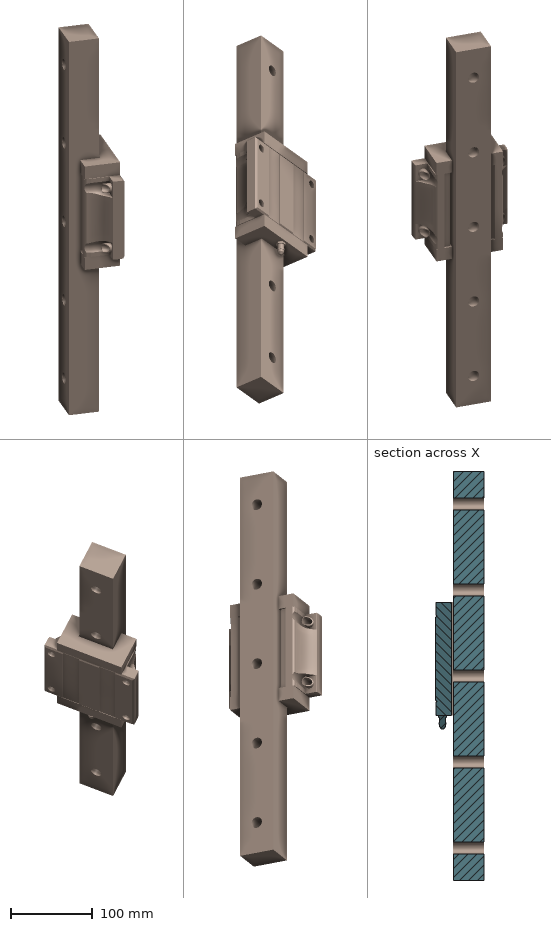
import cadquery as cq
import math

RAIL_LENGTH = 500.0
RAIL_WIDTH = 45.0
RAIL_HEIGHT = 38.0
RAIL_HOLE_PITCH = 105.0
RAIL_HOLE_COUNT = 5
RAIL_HOLE_RADIUS = 7.0

CARRIAGE_Z = 21.0
BLOCK_LENGTH = 104.5
CAP_THICKNESS = 17.0
CAP_HALF_WIDTH = 43.0
CARRIAGE_BOTTOM = 14.0
CAP_TOP = 59.0
SLOT_GAP = 0.5
SLOT_TOP = 39.5
BLOCK_TOP = 60.0
BLOCK_HALF_WIDTH = 43.5
BLOCK_SLOT_HALF_WIDTH = 25.0
EDGE_CHAMFER = 2.0
SLOT_STEP_HALF_WIDTH = 32.5
SLOT_STEP_DEPTH = 2.5

RELIEF_INNER = 13.5
RELIEF_OUTER = 35.0
RELIEF_DEPTH = 1.0

FLANGE_HALF_WIDTH = 60.0
FLANK_RADIUS = 34.5
SIDE_STEP_DEPTH = 0.5
SIDE_STEP_Y = 47.5

HOLE_HALF_SPACING_X = 50.0
HOLE_HALF_SPACING_Z = 40.0
THREAD_RADIUS = 5.0
SLEEVE_RADIUS = 6.0
SLEEVE_BOTTOM = 35.0
POCKET_X = 51.5
POCKET_RADIUS = 10.0
POCKET_FLOOR = 45.0
NOTCH_WALL = 44.0

NIPPLE_Y = 51.0
NUT_ACROSS_FLATS = 10.5
NUT_HEIGHT = 2.5
NECK_RADIUS = 4.0
RIB_RADIUS = 4.5
RIB_START = 8.5
RIB_END = 10.5
TAPER_START = 13.5
TIP_RADIUS = 1.5
NIPPLE_LENGTH = 16.5


def box(x_min, x_max, y_min, y_max, z_min, z_max):
    """Axis-aligned box given by its limits."""
    size = (x_max - x_min, y_max - y_min, z_max - z_min)
    return cq.Workplane("XY").box(*size, centered=False).translate((x_min, y_min, z_min))


def cylinder_along_y(x, z, radius, y_min, y_max):
    """Cylinder with its axis parallel to Y."""
    height = y_max - y_min
    solid = cq.Solid.makeCylinder(radius, height, cq.Vector(x, y_min, z), cq.Vector(0, 1, 0))
    return cq.Workplane(obj=solid)


def make_rail():
    rail = box(-RAIL_WIDTH / 2, RAIL_WIDTH / 2, 0, RAIL_HEIGHT, -RAIL_LENGTH / 2, RAIL_LENGTH / 2)
    for index in range(RAIL_HOLE_COUNT):
        z = (index - (RAIL_HOLE_COUNT - 1) / 2) * RAIL_HOLE_PITCH
        rail = rail.cut(cylinder_along_y(0, z, RAIL_HOLE_RADIUS, 0, RAIL_HEIGHT))
    return rail


def half_block():
    """The +X half of the block, centred on Z = 0, with its concave flank."""
    flank_start = CARRIAGE_BOTTOM + EDGE_CHAMFER
    arc_x = BLOCK_HALF_WIDTH + FLANK_RADIUS
    flank_outer = FLANGE_HALF_WIDTH - SIDE_STEP_DEPTH
    rise = math.acos((arc_x - flank_outer) / FLANK_RADIUS)
    flank_end = (flank_outer, flank_start + FLANK_RADIUS * math.sin(rise))
    flank_mid = (
        arc_x - FLANK_RADIUS * math.cos(rise / 2),
        flank_start + FLANK_RADIUS * math.sin(rise / 2),
    )
    step_top = CARRIAGE_BOTTOM + SLOT_STEP_DEPTH
    return (
        cq.Workplane("XY")
        .workplane(offset=-BLOCK_LENGTH / 2)
        .moveTo(0, BLOCK_TOP)
        .lineTo(0, SLOT_TOP)
        .lineTo(BLOCK_SLOT_HALF_WIDTH, SLOT_TOP)
        .lineTo(BLOCK_SLOT_HALF_WIDTH, step_top)
        .lineTo(SLOT_STEP_HALF_WIDTH, step_top)
        .lineTo(SLOT_STEP_HALF_WIDTH, CARRIAGE_BOTTOM)
        .lineTo(BLOCK_HALF_WIDTH - EDGE_CHAMFER, CARRIAGE_BOTTOM)
        .lineTo(BLOCK_HALF_WIDTH, flank_start)
        .threePointArc(flank_mid, flank_end)
        .lineTo(flank_outer, SIDE_STEP_Y)
        .lineTo(FLANGE_HALF_WIDTH, SIDE_STEP_Y)
        .lineTo(FLANGE_HALF_WIDTH, BLOCK_TOP - EDGE_CHAMFER)
        .lineTo(FLANGE_HALF_WIDTH - EDGE_CHAMFER, BLOCK_TOP)
        .lineTo(RELIEF_OUTER, BLOCK_TOP)
        .lineTo(RELIEF_OUTER, BLOCK_TOP - RELIEF_DEPTH)
        .lineTo(RELIEF_INNER, BLOCK_TOP - RELIEF_DEPTH)
        .lineTo(RELIEF_INNER, BLOCK_TOP)
        .close()
        .extrude(BLOCK_LENGTH)
    )


def mounting_pocket():
    """Cut under the flange around the hole near the +Z end: a U-shaped pocket open to the
    flange side and a notch open to the block end, leaving a sleeve around the thread."""
    x = HOLE_HALF_SPACING_X
    z = HOLE_HALF_SPACING_Z
    outer = FLANGE_HALF_WIDTH
    pocket = cylinder_along_y(POCKET_X, z, POCKET_RADIUS, CARRIAGE_BOTTOM, POCKET_FLOOR)
    pocket = pocket.union(
        box(POCKET_X, outer, CARRIAGE_BOTTOM, POCKET_FLOOR, z - POCKET_RADIUS, z + POCKET_RADIUS)
    )
    pocket = pocket.union(box(NOTCH_WALL, outer, CARRIAGE_BOTTOM, POCKET_FLOOR, z, BLOCK_LENGTH / 2))
    pocket = pocket.cut(cylinder_along_y(x, z, SLEEVE_RADIUS, SLEEVE_BOTTOM, POCKET_FLOOR))
    return pocket.union(cylinder_along_y(x, z, THREAD_RADIUS, CARRIAGE_BOTTOM, BLOCK_TOP))


def end_chamfer():
    """Triangular cutter for the chamfer along the top edge of the +Z end."""
    z_end = BLOCK_LENGTH / 2
    return (
        cq.Workplane("YZ")
        .workplane(offset=-FLANGE_HALF_WIDTH)
        .moveTo(BLOCK_TOP, z_end)
        .lineTo(BLOCK_TOP, z_end - EDGE_CHAMFER)
        .lineTo(BLOCK_TOP - EDGE_CHAMFER, z_end)
        .close()
        .extrude(2 * FLANGE_HALF_WIDTH)
    )


def make_block():
    half = half_block()
    pocket = mounting_pocket()
    half = half.cut(pocket).cut(pocket.mirror("XY"))
    block = half.union(half.mirror("YZ"))
    bevel = end_chamfer()
    return block.cut(bevel).cut(bevel.mirror("XY"))


def end_cap():
    """Cap on the +Z end of the block, slotted to clear the rail."""
    z_min = BLOCK_LENGTH / 2
    z_max = z_min + CAP_THICKNESS
    slot = RAIL_WIDTH / 2 + SLOT_GAP
    cap = box(-CAP_HALF_WIDTH, CAP_HALF_WIDTH, CARRIAGE_BOTTOM, CAP_TOP, z_min, z_max)
    return cap.cut(box(-slot, slot, CARRIAGE_BOTTOM, SLOT_TOP, z_min, z_max))


def make_carriage():
    cap = end_cap()
    return make_block().union(cap).union(cap.mirror("XY")).translate((0, 0, CARRIAGE_Z))


def make_nipple():
    """Nipple standing on the outer face of the -Z end cap: a hexagon nut and a turned head."""
    across_corners = NUT_ACROSS_FLATS / math.cos(math.pi / 6)
    nut = cq.Workplane("XY").polygon(6, across_corners).extrude(-NUT_HEIGHT)
    head = (
        cq.Workplane("XZ")
        .lineTo(NECK_RADIUS, 0)
        .lineTo(NECK_RADIUS, -RIB_START)
        .lineTo(RIB_RADIUS, -RIB_START)
        .lineTo(RIB_RADIUS, -RIB_END)
        .lineTo(NECK_RADIUS, -RIB_END)
        .lineTo(NECK_RADIUS, -TAPER_START)
        .lineTo(TIP_RADIUS, -NIPPLE_LENGTH)
        .lineTo(0, -NIPPLE_LENGTH)
        .close()
        .revolve(360, (0, 0, 0), (0, 1, 0))
    )
    return nut.union(head).translate((0, NIPPLE_Y, CARRIAGE_Z - BLOCK_LENGTH / 2 - CAP_THICKNESS))


rail = make_rail()
carriage = make_carriage()
nipple = make_nipple()

result = cq.Compound.makeCompound([rail.val(), carriage.val(), nipple.val()])